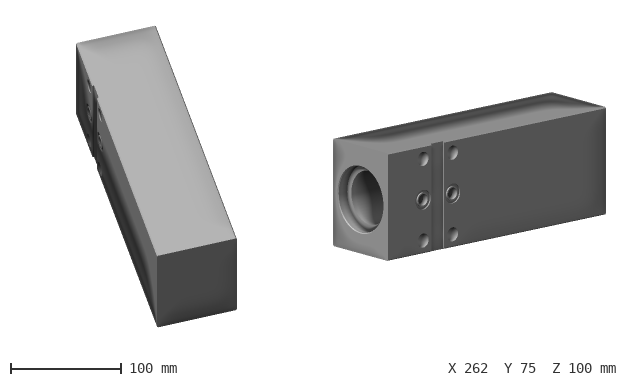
import cadquery as cq

LENGTH = 262.0
WIDTH = 75.0
HEIGHT = 100.0
FRONT_Y = -WIDTH / 2
EDGE_CHAMFER = 1.0

GROOVE_CENTER_X = 60.0
GROOVE_WIDTH = 15.0
GROOVE_DEPTH = 1.5

COLUMN_SPACING = 35.5
COLUMN_X = [GROOVE_CENTER_X + side * COLUMN_SPACING / 2 for side in (-1, 1)]

MOUNT_DIAMETER = 13.0
MOUNT_SPACING_Z = 76.0

PORT_DIAMETER = 10.7
PORT_DEPTH = 6.0
SEAL_INNER_DIAMETER = 13.0
SEAL_OUTER_DIAMETER = 18.3
SEAL_DEPTH = 1.5

BORE_DIAMETER = 50.0
END_WALL = 26.2
COUNTERBORE_DIAMETER = 61.3
COUNTERBORE_DEPTH = 11.0
COUNTERBORE_CHAMFER = 0.8


def make_block():
    block = cq.Workplane("XY").box(LENGTH, WIDTH, HEIGHT, centered=(False, True, True))
    return block.edges("|X").chamfer(EDGE_CHAMFER)


def make_groove():
    start_x = GROOVE_CENTER_X - GROOVE_WIDTH / 2
    groove = cq.Workplane("XY").box(GROOVE_WIDTH, GROOVE_DEPTH, HEIGHT, centered=(False, False, True))
    return groove.translate((start_x, FRONT_Y, 0))


def revolve_about_x(profile):
    return cq.Workplane("XY").polyline(profile).close().revolve(360, (0, 0), (1, 0))


def make_bore():
    bore_radius = BORE_DIAMETER / 2
    counterbore_radius = COUNTERBORE_DIAMETER / 2
    floor_x = LENGTH - END_WALL
    return revolve_about_x([
        (0, 0),
        (0, counterbore_radius + COUNTERBORE_CHAMFER),
        (COUNTERBORE_CHAMFER, counterbore_radius),
        (COUNTERBORE_DEPTH, counterbore_radius),
        (COUNTERBORE_DEPTH, bore_radius),
        (floor_x, bore_radius),
        (floor_x, 0),
    ])


def make_mount_hole(x, z):
    hole = cq.Workplane("XZ").circle(MOUNT_DIAMETER / 2).extrude(WIDTH / 2, both=True)
    return hole.translate((x, 0, z))


def make_port(x):
    return cq.Workplane("XZ", origin=(x, FRONT_Y, 0)).circle(PORT_DIAMETER / 2).extrude(-PORT_DEPTH)


def make_seal_groove(x):
    ring = cq.Workplane("XZ", origin=(x, FRONT_Y, 0))
    ring = ring.circle(SEAL_OUTER_DIAMETER / 2).circle(SEAL_INNER_DIAMETER / 2)
    return ring.extrude(-SEAL_DEPTH)


result = make_block().cut(make_groove()).cut(make_bore())
for column_x in COLUMN_X:
    result = result.cut(make_port(column_x)).cut(make_seal_groove(column_x))
    for side in (-1, 1):
        result = result.cut(make_mount_hole(column_x, side * MOUNT_SPACING_Z / 2))